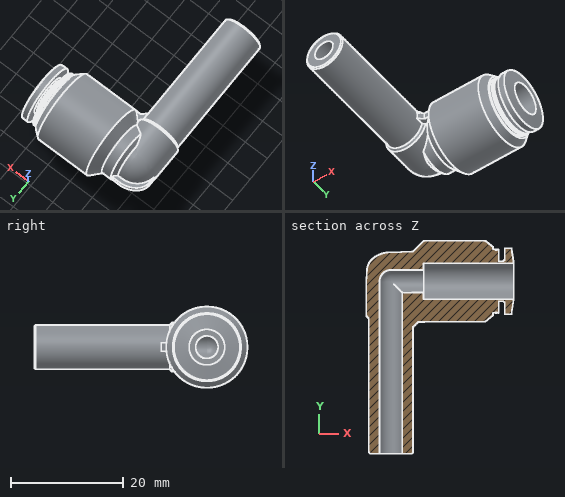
import cadquery as cq
import math


stem_diameter = 7.94
stem_end_y = -30.7
stem_chamfer = 0.25
elbow_diameter = 8.84
elbow_end_y = -6.62
bore_diameter = 4.0

collar_cone_start_x = 0.97
collar_diameter = 10.6
body_diameter = 14.5
body_cone_start_x = 3.86
body_front_x = 16.8
body_end_x = 18.2
body_mouth_diameter = 12.2

ring_diameter = 11.4
ring_end_x = 19.2
ring_chamfer = 0.12
ring_groove_x = 18.65
ring_groove_width = 0.1
ring_groove_depth = 0.1

button_neck_diameter = 7.15
button_neck_end_x = 19.92
button_flare_height = 0.3
button_diameter = 11.8
button_rim_end_x = 21.28
button_edge_width = 0.2
button_edge_drop = 0.04
button_end_x = 21.89
tube_diameter = 6.35

rib_thickness = 1.5
outer_rib_reach = 4.3
outer_rib_radius = 5.2
outer_rib_blend_radius = 3.0
inner_rib_setback = 0.9

stem_radius = stem_diameter / 2
elbow_radius = elbow_diameter / 2
collar_radius = collar_diameter / 2
body_radius = body_diameter / 2
ring_radius = ring_diameter / 2
button_radius = button_diameter / 2
button_neck_radius = button_neck_diameter / 2
tube_radius = tube_diameter / 2
collar_start_x = collar_cone_start_x + collar_radius - elbow_radius
body_start_x = body_cone_start_x + body_radius - collar_radius
button_start_x = button_neck_end_x + button_flare_height


def stem_and_elbow():
    """Turned stem and elbow barrel around Y, closed by a sphere at the corner."""
    step = elbow_radius - stem_radius
    barrel = (
        cq.Workplane("XY")
        .moveTo(0, 0)
        .lineTo(elbow_radius, 0)
        .lineTo(elbow_radius, elbow_end_y + step)
        .lineTo(stem_radius, elbow_end_y)
        .lineTo(stem_radius, stem_end_y + stem_chamfer)
        .lineTo(stem_radius - stem_chamfer, stem_end_y)
        .lineTo(0, stem_end_y)
        .close()
        .revolve(360, (0, 0, 0), (0, 1, 0))
    )
    return barrel.union(cq.Workplane("XY").sphere(elbow_radius))


def body():
    """Turned collar, body, guide ring and release button around X.

    The front cone of the button runs in to the mouth of the tube socket.
    """
    groove_end_x = ring_groove_x + ring_groove_width
    button_edge_x = button_rim_end_x + button_edge_width
    return (
        cq.Workplane("XY")
        .moveTo(0, 0)
        .lineTo(0, elbow_radius)
        .lineTo(collar_cone_start_x, elbow_radius)
        .lineTo(collar_start_x, collar_radius)
        .lineTo(body_cone_start_x, collar_radius)
        .lineTo(body_start_x, body_radius)
        .lineTo(body_front_x, body_radius)
        .lineTo(body_end_x, body_mouth_diameter / 2)
        .lineTo(body_end_x, ring_radius)
        .lineTo(ring_groove_x, ring_radius)
        .lineTo(ring_groove_x, ring_radius - ring_groove_depth)
        .lineTo(groove_end_x, ring_radius - ring_groove_depth)
        .lineTo(groove_end_x, ring_radius)
        .lineTo(ring_end_x - ring_chamfer, ring_radius)
        .lineTo(ring_end_x, ring_radius - ring_chamfer)
        .lineTo(ring_end_x, button_neck_radius)
        .lineTo(button_neck_end_x, button_neck_radius)
        .lineTo(button_start_x, button_neck_radius + button_flare_height)
        .lineTo(button_start_x, button_radius)
        .lineTo(button_rim_end_x, button_radius)
        .lineTo(button_edge_x, button_radius - button_edge_drop)
        .lineTo(button_end_x, tube_radius)
        .lineTo(button_end_x, 0)
        .close()
        .revolve(360, (0, 0, 0), (1, 0, 0))
    )


def rib_plate(outline):
    """Extrude a closed XY outline to the rib thickness, centred on Z = 0."""
    return outline.close().extrude(rib_thickness / 2, both=True)


def outer_rib():
    """Rounded rib over the outside of the bend, running into the collar.

    The large arc is centred on the origin. A smaller arc, tangent to it,
    blends into the flat that faces -X.
    """
    blend_centre_x = outer_rib_blend_radius - outer_rib_reach
    blend_centre_distance = outer_rib_radius - outer_rib_blend_radius
    blend_centre_y = math.sqrt(blend_centre_distance**2 - blend_centre_x**2)
    meeting_scale = outer_rib_radius / blend_centre_distance
    arcs_meet = (blend_centre_x * meeting_scale, blend_centre_y * meeting_scale)
    outline = (
        cq.Workplane("XY")
        .moveTo(0, 0)
        .lineTo(-outer_rib_reach, 0)
        .lineTo(-outer_rib_reach, blend_centre_y)
        .radiusArc(arcs_meet, outer_rib_blend_radius)
        .radiusArc((0, outer_rib_radius), outer_rib_radius)
        .lineTo(collar_start_x, outer_rib_radius)
        .lineTo(collar_start_x, 0)
    )
    return rib_plate(outline)


def inner_rib():
    """Web in the inside corner between the stem and the rear cone of the body."""
    top_y = elbow_end_y / 2
    foot_y = -body_radius - inner_rib_setback
    outline = (
        cq.Workplane("XY")
        .moveTo(0, top_y)
        .lineTo(0, foot_y)
        .lineTo(stem_radius, foot_y)
        .lineTo(stem_radius + inner_rib_setback, -body_radius)
        .lineTo(body_start_x, -body_radius)
        .lineTo(body_start_x, top_y)
    )
    return rib_plate(outline)


def flow_passage():
    """Stem bore, spherical corner, cross bore and the wider tube socket."""
    bore_radius = bore_diameter / 2
    stem_bore = cq.Workplane("XZ").circle(bore_radius).extrude(-stem_end_y)
    cross_bore = cq.Workplane("YZ").circle(bore_radius).extrude(button_end_x)
    corner = cq.Workplane("XY").sphere(bore_radius)
    socket = (
        cq.Workplane("YZ", origin=(body_start_x, 0, 0))
        .circle(tube_radius)
        .extrude(button_end_x - body_start_x)
    )
    return stem_bore.union(corner).union(cross_bore).union(socket)


result = (
    stem_and_elbow()
    .union(body())
    .union(outer_rib())
    .union(inner_rib())
    .cut(flow_passage())
)